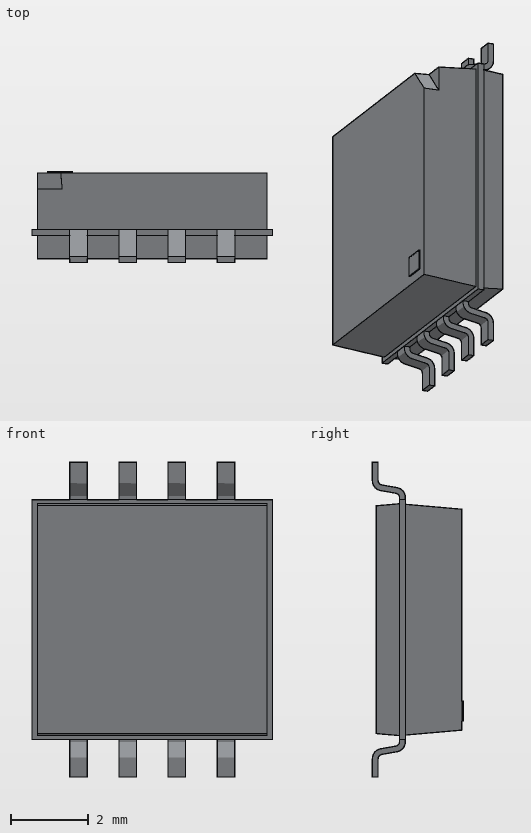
import cadquery as cq
import math

TOTAL_HEIGHT = 8.12

FLANGE_LENGTH = 6.21
FLANGE_HEIGHT = 6.19
FLANGE_THICKNESS = 0.16
FLANGE_FRONT = 0.7

BODY_LENGTH = 5.92
BODY_MAX_HEIGHT = 5.985
BODY_FRONT = 0.1
BODY_BACK = 2.315
DRAFT_ANGLE = math.radians(5)

NOTCH_LEG = 0.6
NOTCH_DEPTH = 0.415

MARK_LENGTH = 0.65
MARK_HEIGHT = 0.51
MARK_RELIEF = 0.03
MARK_LEFT = -2.7
MARK_BOTTOM = -2.615

LEAD_COUNT = 4
LEAD_PITCH = 1.27
LEAD_WIDTH = 0.455
LEAD_THICKNESS = 0.155
LEAD_INNER_RADIUS = 0.11
LEAD_SLOPE = math.radians(10)
FOOT_LENGTH = 0.47


def make_body():
    """Six-sided profile in YZ, widest at the front of the flange, extruded along X."""
    peak = BODY_MAX_HEIGHT / 2
    front = peak - (FLANGE_FRONT - BODY_FRONT) * math.tan(DRAFT_ANGLE)
    back = peak - (BODY_BACK - FLANGE_FRONT) * math.tan(DRAFT_ANGLE)
    profile = [
        (BODY_FRONT, -front),
        (FLANGE_FRONT, -peak),
        (BODY_BACK, -back),
        (BODY_BACK, back),
        (FLANGE_FRONT, peak),
        (BODY_FRONT, front),
    ]
    body = cq.Workplane("YZ").polyline(profile).close().extrude(BODY_LENGTH / 2, both=True)
    return body.cut(make_notch(back))


def make_notch(back_half_height):
    """Triangular prism removing the upper left corner of the back face."""
    overshoot = 0.41
    reach = NOTCH_LEG + 2 * overshoot
    corner_x = -BODY_LENGTH / 2 - overshoot
    corner_z = back_half_height + overshoot
    triangle = [(corner_x, corner_z), (corner_x + reach, corner_z), (corner_x, corner_z - reach)]
    return (
        cq.Workplane("XZ", origin=(0, BODY_BACK, 0))
        .polyline(triangle)
        .close()
        .extrude(NOTCH_DEPTH)
    )


def make_flange():
    return cq.Workplane("XY").box(FLANGE_LENGTH, FLANGE_THICKNESS, FLANGE_HEIGHT).translate(
        (0, FLANGE_FRONT + FLANGE_THICKNESS / 2, 0)
    )


def make_mark():
    return cq.Workplane("XY").box(MARK_LENGTH, MARK_RELIEF, MARK_HEIGHT, centered=False).translate(
        (MARK_LEFT, BODY_BACK, MARK_BOTTOM)
    )


def make_lead():
    """Upper lead centred on X = 0: two equal bends joined by a sloping web, ending in the foot."""
    inner = LEAD_INNER_RADIUS
    outer = inner + LEAD_THICKNESS
    root_front = FLANGE_FRONT + (FLANGE_THICKNESS - LEAD_THICKNESS) / 2
    root_back = root_front + LEAD_THICKNESS
    tip = TOTAL_HEIGHT / 2
    foot_start = tip - FOOT_LENGTH

    turn = math.pi / 2 - LEAD_SLOPE
    web_run = root_front - (inner + outer) * (1 - math.cos(turn))
    bends_rise = (inner + outer) * math.sin(turn)
    shoulder = foot_start - bends_rise - web_run * math.tan(LEAD_SLOPE)

    shoulder_y = root_front - inner
    foot_y = outer

    def on_shoulder(radius, angle):
        return (shoulder_y + radius * math.cos(angle), shoulder + radius * math.sin(angle))

    def on_foot(radius, angle):
        return (foot_y - radius * math.cos(angle), foot_start - radius * math.sin(angle))

    return (
        cq.Workplane("YZ")
        .moveTo(root_back, 0)
        .lineTo(root_back, shoulder)
        .threePointArc(on_shoulder(outer, turn / 2), on_shoulder(outer, turn))
        .lineTo(*on_foot(inner, turn))
        .threePointArc(on_foot(inner, turn / 2), on_foot(inner, 0))
        .lineTo(LEAD_THICKNESS, tip)
        .lineTo(0, tip)
        .lineTo(0, foot_start)
        .threePointArc(on_foot(outer, turn / 2), on_foot(outer, turn))
        .lineTo(*on_shoulder(inner, turn))
        .threePointArc(on_shoulder(inner, turn / 2), on_shoulder(inner, 0))
        .lineTo(root_front, 0)
        .close()
        .extrude(LEAD_WIDTH / 2, both=True)
    )


result = make_body().union(make_flange()).union(make_mark())

upper_lead = make_lead()
lower_lead = upper_lead.mirror("XY")
for index in range(LEAD_COUNT):
    lead_x = (index - (LEAD_COUNT - 1) / 2) * LEAD_PITCH
    for lead in (upper_lead, lower_lead):
        result = result.union(lead.translate((lead_x, 0, 0)))